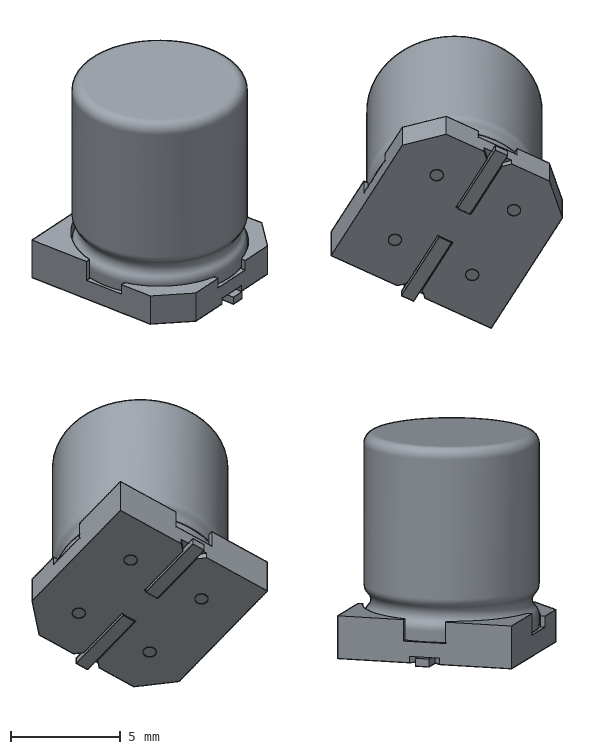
import cadquery as cq


total_height = 10.05
can_radius = 4.0
can_top_fillet = 0.5
groove_depth = 0.31
groove_height = 1.48

base_width = 8.3
base_bottom = 0.07
seat_height = 0.99
low_wall_height = 1.5
high_wall_height = 1.99
corner_chamfer = 1.48
seat_clearance = 0.05
notch_width = 2.01

lead_width = 0.64
lead_thickness = 0.37
lead_span = 9.0
lead_gap = 1.75
channel_width = 0.78
channel_mouth_width = 1.44

foot_diameter = 0.6
foot_offset = 2.0
foot_height = 0.03

half_base = base_width / 2
seat_z = base_bottom + seat_height
low_wall_top = base_bottom + low_wall_height


def box_between(x_range, y_range, z_range):
    """Axis-aligned box from the low and high limit along each axis."""
    (x0, x1), (y0, y1), (z0, z1) = x_range, y_range, z_range
    return cq.Workplane("XY").box(x1 - x0, y1 - y0, z1 - z0, centered=False).translate((x0, y0, z0))


def make_can():
    """Revolved can with a rolled groove, made of tangent arcs, just above its foot."""
    quarter = groove_height / 4
    groove_bottom = low_wall_top
    mid_slope_radius = can_radius - groove_depth / 2
    neck_radius = can_radius - groove_depth
    arc_radius = ((groove_depth / 2) ** 2 + quarter**2) / groove_depth

    profile = (
        cq.Workplane("XZ")
        .moveTo(0, seat_z)
        .lineTo(can_radius, seat_z)
        .lineTo(can_radius, groove_bottom)
        .radiusArc((mid_slope_radius, groove_bottom + quarter), -arc_radius)
        .radiusArc((neck_radius, groove_bottom + 2 * quarter), arc_radius)
        .radiusArc((mid_slope_radius, groove_bottom + 3 * quarter), arc_radius)
        .radiusArc((can_radius, groove_bottom + groove_height), -arc_radius)
        .lineTo(can_radius, total_height)
        .lineTo(0, total_height)
        .close()
    )
    can = profile.revolve(360, (0, 0, 0), (0, 1, 0))
    return can.faces(">Z").edges().fillet(can_top_fillet)


def make_base():
    """Square base with two chamfered corners, a lower +X wall, a round seat and side notches."""
    base_top = base_bottom + high_wall_height
    across = (-half_base, half_base)
    base = box_between(across, across, (base_bottom, base_top))
    base = base.edges("|Z and >X").chamfer(corner_chamfer)
    base = base.cut(box_between((0, half_base), across, (low_wall_top, base_top)))

    seat = (
        cq.Workplane("XY", origin=(0, 0, seat_z))
        .circle(can_radius + seat_clearance)
        .extrude(base_top - seat_z)
    )
    base = base.cut(seat)

    notch = (-notch_width / 2, notch_width / 2)
    base = base.cut(box_between(notch, across, (seat_z, base_top)))
    return base.cut(box_between(across, notch, (seat_z, base_top)))


def make_channel():
    """Lead channel on the +X side, flaring at 45 degrees to its mouth."""
    flare_depth = (channel_mouth_width - channel_width) / 2
    inner_x = lead_gap / 2
    throat_x = half_base - flare_depth
    half_throat = channel_width / 2
    half_mouth = channel_mouth_width / 2
    return (
        cq.Workplane("XY")
        .polyline([
            (inner_x, -half_throat),
            (throat_x, -half_throat),
            (half_base, -half_mouth),
            (half_base, half_mouth),
            (throat_x, half_throat),
            (inner_x, half_throat),
        ])
        .close()
        .extrude(lead_thickness)
    )


def make_lead():
    """Flat lead on the +X side, lying against the channel ceiling."""
    return box_between(
        (lead_gap / 2, lead_span / 2),
        (-lead_width / 2, lead_width / 2),
        (0, lead_thickness),
    )


def make_feet():
    """Four round standoff feet under the base."""
    return (
        cq.Workplane("XY", origin=(0, 0, base_bottom))
        .rect(2 * foot_offset, 2 * foot_offset, forConstruction=True)
        .vertices()
        .circle(foot_diameter / 2)
        .extrude(-foot_height)
    )


result = make_base()
for side_angle in (0, 180):
    channel = make_channel().rotate((0, 0, 0), (0, 0, 1), side_angle)
    lead = make_lead().rotate((0, 0, 0), (0, 0, 1), side_angle)
    result = result.cut(channel).union(lead)
result = result.union(make_feet()).union(make_can())